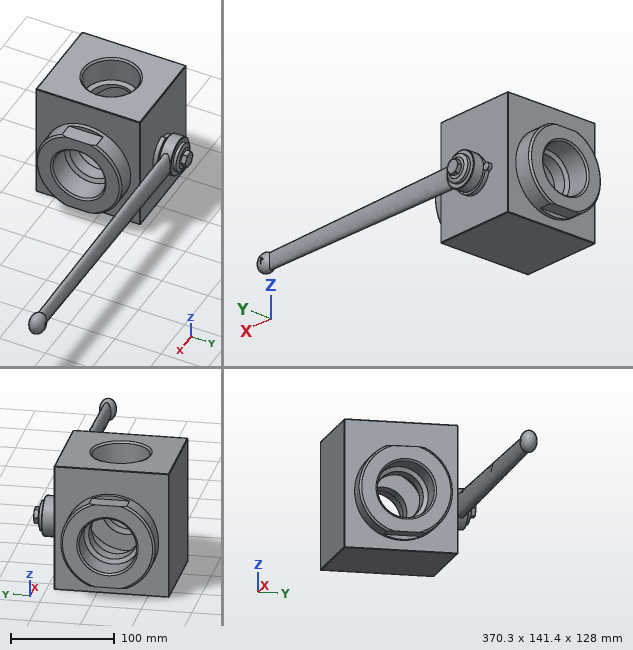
import cadquery as cq
import math


BLOCK_WIDTH = 98.5
BLOCK_DEPTH = 113.3
BLOCK_HEIGHT = 128.0
BLOCK_BOTTOM = -BLOCK_DEPTH / 2
BLOCK_TOP = BLOCK_BOTTOM + BLOCK_HEIGHT
BLOCK_CHAMFER = 0.7
CAVITY_DIA = 82.0

SIDE_BORE_DIA = 48.0
TOP_BORE_DIA = 46.0
PORT_DIA = 56.5
PORT_DEPTH = 26.5
SIDE_TAPER_ANGLE = 120.0
TOP_TAPER_ANGLE = 155.0
PORT_CHAMFER = 2.0

ADAPTER_DIA = 93.0
ADAPTER_FACE_DIA = 89.0
ADAPTER_LENGTH = 20.7
SPIGOT_LENGTH = 23.0
ADAPTER_CHAMFER = (ADAPTER_DIA - ADAPTER_FACE_DIA) / 2
FLAT_SPACING = 85.0
FLAT_LENGTH = 16.3

PLATE_DIA = 44.0
PLATE_THICKNESS = 4.8
PIN_DIA = 8.0
PIN_OFFSET = 22.2
PIN_HEIGHT = 4.0

HUB_DIA = 40.0
HUB_HEIGHT = 13.5
HUB_CHAMFER = 0.7
LEVER_ROOT_HEIGHT = 25.5
LEVER_ROOT_THICKNESS = 12.2
LEVER_TIP_HEIGHT = 18.5
LEVER_TIP_THICKNESS = 9.3
KNOB_DIA = 22.0
KNOB_THICKNESS = 16.3
LEVER_REACH = 300.3

WASHER_DIA = 30.0
WASHER_TOP_DIA = 22.0
WASHER_THICKNESS = 4.8
WASHER_BEVEL_HEIGHT = 1.5
BOLT_CORNER_DIA = 16.5
BOLT_HEAD_HEIGHT = 5.0
BOLT_CHAMFER = 0.7

BLOCK_BACK = BLOCK_DEPTH / 2
PLATE_TOP = BLOCK_BACK + PLATE_THICKNESS
HUB_TOP = PLATE_TOP + HUB_HEIGHT
WASHER_TOP = HUB_TOP + WASHER_THICKNESS
LEVER_LEVEL = PLATE_TOP + HUB_HEIGHT / 2

ADAPTER_END = BLOCK_WIDTH / 2 + ADAPTER_LENGTH


def sketch_plane(level):
    """Workplane facing -Y at the given Y level: local x is X, local y is Z."""
    return cq.Workplane("XZ", origin=(0, level, 0))


def disc(diameter, bottom, height):
    """Round disc about the Y axis, growing toward +Y from the bottom level."""
    return sketch_plane(bottom).circle(diameter / 2).extrude(-height)


def port_cutter(end, bore_dia, taper_angle):
    """Port along Z: chamfered mouth at the end level, bottom tapering to the bore below it."""
    port_radius = PORT_DIA / 2
    bore_radius = bore_dia / 2
    mouth_radius = port_radius + PORT_CHAMFER
    shoulder = end - PORT_DEPTH
    taper = (port_radius - bore_radius) / math.tan(math.radians(taper_angle / 2))
    return (
        cq.Workplane("XZ")
        .polyline(
            [
                (0, 0),
                (bore_radius, 0),
                (bore_radius, shoulder - taper),
                (port_radius, shoulder),
                (port_radius, end - PORT_CHAMFER),
                (mouth_radius, end),
                (0, end),
            ]
        )
        .close()
        .revolve(360, (0, 0), (0, 1))
    )


def make_block():
    """Rectangular block with a cavity through it along X and a port down into the cavity from the top."""
    cavity = cq.Workplane("YZ").circle(CAVITY_DIA / 2).extrude(BLOCK_WIDTH, both=True)
    return (
        cq.Workplane("XY", origin=(0, 0, BLOCK_BOTTOM))
        .box(BLOCK_WIDTH, BLOCK_DEPTH, BLOCK_HEIGHT, centered=(True, True, False))
        .edges()
        .chamfer(BLOCK_CHAMFER)
        .cut(cavity)
        .cut(port_cutter(BLOCK_TOP, TOP_BORE_DIA, TOP_TAPER_ANGLE))
    )


def make_adapter(side):
    """Flanged adapter for the +X (side 1) or -X (side -1) end, with flats facing up and down."""
    flange = (
        cq.Workplane("XY", origin=(0, 0, BLOCK_WIDTH / 2))
        .circle(ADAPTER_DIA / 2)
        .extrude(ADAPTER_LENGTH)
        .faces(">Z")
        .chamfer(ADAPTER_CHAMFER)
    )
    flat_depth = (ADAPTER_DIA - FLAT_SPACING) / 2
    for direction in (-1, 1):
        flat = cq.Workplane("XY").box(flat_depth, ADAPTER_DIA, FLAT_LENGTH)
        flat_offset = direction * (FLAT_SPACING + flat_depth) / 2
        flange = flange.cut(flat.translate((flat_offset, 0, ADAPTER_END - FLAT_LENGTH / 2)))
    spigot = (
        cq.Workplane("XY", origin=(0, 0, BLOCK_WIDTH / 2))
        .circle(CAVITY_DIA / 2)
        .extrude(-SPIGOT_LENGTH)
    )
    adapter = flange.union(spigot).cut(port_cutter(ADAPTER_END, SIDE_BORE_DIA, SIDE_TAPER_ANGLE))
    return adapter.rotate((0, 0, 0), (0, 1, 0), side * 90)


def make_stop_pin():
    return disc(PIN_DIA, BLOCK_BACK, PIN_HEIGHT).translate((-PIN_OFFSET, 0, 0))


def make_stop_plate():
    """Plate with a round-ended recess that lets it turn a quarter turn around the pin."""
    inner = PIN_OFFSET - PIN_DIA / 2
    outer = PIN_OFFSET + PIN_DIA / 2
    diagonal = math.sqrt(0.5)
    recess = (
        sketch_plane(BLOCK_BACK)
        .moveTo(-outer, 0)
        .threePointArc((-outer * diagonal, outer * diagonal), (0, outer))
        .threePointArc((PIN_DIA / 2, PIN_OFFSET), (0, inner))
        .threePointArc((-inner * diagonal, inner * diagonal), (-inner, 0))
        .threePointArc((-PIN_OFFSET, -PIN_DIA / 2), (-outer, 0))
        .close()
        .extrude(-PLATE_THICKNESS)
    )
    return disc(PLATE_DIA, BLOCK_BACK, PLATE_THICKNESS).cut(recess)


def make_lever():
    """Hub, tapering oval arm and flattened round knob."""
    hub = disc(HUB_DIA, PLATE_TOP, HUB_HEIGHT).edges().chamfer(HUB_CHAMFER)
    knob_center = LEVER_REACH - KNOB_DIA / 2
    arm = (
        cq.Workplane("YZ", origin=(0, LEVER_LEVEL, 0))
        .ellipse(LEVER_ROOT_THICKNESS / 2, LEVER_ROOT_HEIGHT / 2)
        .workplane(offset=knob_center)
        .ellipse(LEVER_TIP_THICKNESS / 2, LEVER_TIP_HEIGHT / 2)
        .loft()
    )
    knob = (
        cq.Workplane("XY", origin=(knob_center, LEVER_LEVEL, 0))
        .moveTo(0, -KNOB_THICKNESS / 2)
        .ellipseArc(KNOB_DIA / 2, KNOB_THICKNESS / 2, -90, 90, startAtCurrent=True)
        .close()
        .revolve(360, (0, 0), (0, 1))
    )
    return hub.union(arm).union(knob)


def make_washer():
    """Washer with a shallow bevel down from its top face."""
    return disc(WASHER_DIA, HUB_TOP, WASHER_THICKNESS).faces(">Y").chamfer(
        WASHER_BEVEL_HEIGHT, (WASHER_DIA - WASHER_TOP_DIA) / 2
    )


def make_bolt():
    """Hexagon bolt head with its corners turned off at both ends."""
    hexagon = sketch_plane(WASHER_TOP).polygon(6, BOLT_CORNER_DIA).extrude(-BOLT_HEAD_HEIGHT)
    turned_blank = disc(BOLT_CORNER_DIA, WASHER_TOP, BOLT_HEAD_HEIGHT).edges().chamfer(BOLT_CHAMFER)
    return hexagon.intersect(turned_blank)


block = make_block()
adapters = [make_adapter(side) for side in (-1, 1)]
stop_pin = make_stop_pin()
stop_plate = make_stop_plate()
lever = make_lever()
washer = make_washer()
bolt = make_bolt()

result = cq.Compound.makeCompound(
    [
        block.val(),
        *[adapter.val() for adapter in adapters],
        stop_pin.val(),
        stop_plate.val(),
        lever.val(),
        washer.val(),
        bolt.val(),
    ]
)